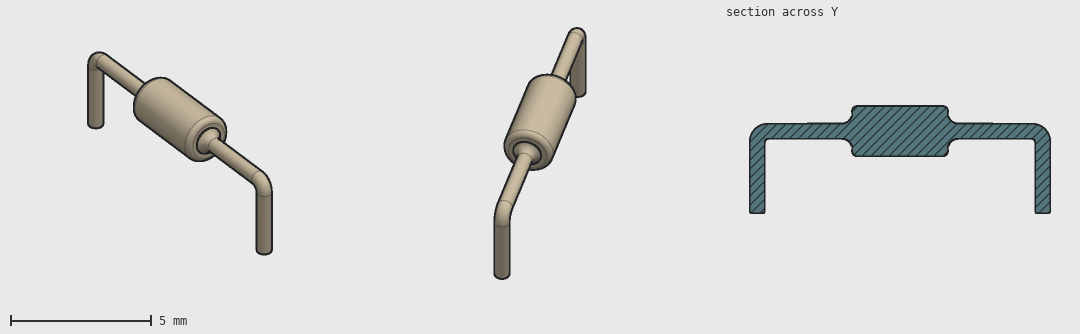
import cadquery as cq

span = 10.71
height = 3.82

body_diameter = 1.8
body_length = 3.42
body_round = 0.2

wire_diameter = 0.56
bend_radius = 0.4
tip_round = 0.1

flare_length = 0.34
flare_rim_width = 0.02
flare_radius = 0.51

body_radius = body_diameter / 2
wire_radius = wire_diameter / 2
body_end = body_length / 2
leg_x = span / 2 - wire_radius
tip_z = body_radius - height


def make_body():
    body = cq.Workplane("YZ", origin=(-body_end, 0, 0)).circle(body_radius).extrude(body_length)
    return body.edges("%CIRCLE").fillet(body_round)


def make_wire():
    """One continuous wire: leg up, bend, straight through the body, bend, leg down."""
    path = (
        cq.Workplane("XZ")
        .moveTo(-leg_x, tip_z)
        .lineTo(-leg_x, -bend_radius)
        .tangentArcPoint((-leg_x + bend_radius, 0), relative=False)
        .lineTo(leg_x - bend_radius, 0)
        .tangentArcPoint((leg_x, -bend_radius), relative=False)
        .lineTo(leg_x, tip_z)
    )
    wire = (
        cq.Workplane("XY", origin=(-leg_x, 0, tip_z))
        .circle(wire_radius)
        .sweep(path)
    )
    return wire.faces("<Z").edges().fillet(tip_round)


def make_flare():
    """Concave flare at the +X end, tangent to the wire and ending in a narrow rim."""
    outer_x = body_end + flare_length
    rim_x = body_end + flare_rim_width
    return (
        cq.Workplane("XY")
        .moveTo(body_end, 0)
        .lineTo(outer_x, 0)
        .lineTo(outer_x, wire_radius)
        .threePointArc(flare_midpoint(outer_x, rim_x), (rim_x, flare_radius))
        .lineTo(body_end, flare_radius)
        .close()
        .revolve(360, (0, 0, 0), (1, 0, 0))
    )


def flare_midpoint(outer_x, rim_x):
    """Point halfway along the flare's length, on the arc tangent to the wire."""
    run = outer_x - rim_x
    rise = flare_radius - wire_radius
    arc_radius = (run**2 + rise**2) / (2 * rise)
    mid_rise = arc_radius - (arc_radius**2 - (run / 2) ** 2) ** 0.5
    return (outer_x - run / 2, wire_radius + mid_rise)


flare = make_flare()
result = make_body().union(make_wire()).union(flare).union(flare.mirror("YZ"))